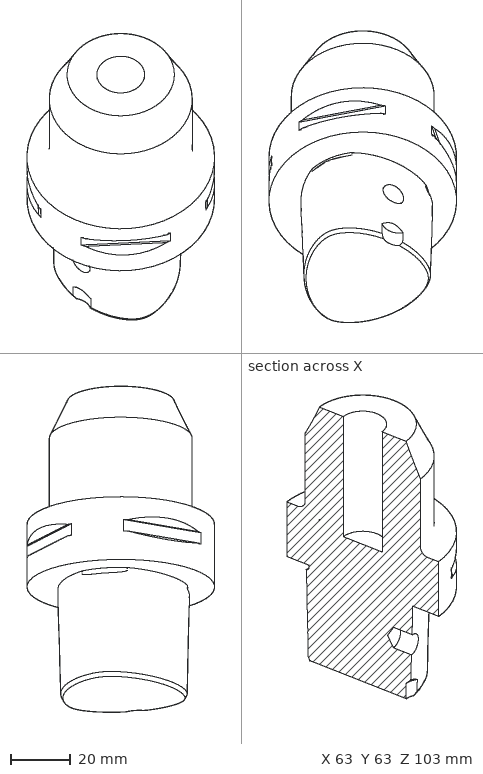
import cadquery as cq
import math

SHANK_LENGTH = 38.0
FLANGE_HEIGHT = 22.0
TOP_Z = 65.0

FLANGE_DIAMETER = 63.0
BODY_DIAMETER = 48.0
NOSE_DIAMETER = 36.0
NOSE_HEIGHT = 12.75
BODY_FILLET = 3.0
BORE_DIAMETER = 16.0
BORE_DEPTH = 48.0

SHANK_RADIUS = 22.1
LOBE_HEIGHT = 1.35
TIP_LOBE_HEIGHT = 1.5
OUTLINE_SAMPLES = 72
STRAIGHT_LENGTH = 3.0
RADIUS_TAPER = 1 / 40
END_CHAMFER_HEIGHT = 1.5
END_CHAMFER_WIDTH = 0.75

RELIEF_RADIUS = 1.5
RELIEF_FLOOR_RADIUS = 22.35
RELIEF_Z = -0.65

SLOT_COUNT = 4
SLOT_START_ANGLE = 45.0
SLOT_Z = 12.0
SLOT_FLOOR_DISTANCE = 27.7
SLOT_FLOOR_HEIGHT = 4.0
SLOT_WALL_DEPTH = 0.7
SLOT_FLARE_ANGLE = 30.0
SLOT_OVERSHOOT = 1.0

SIDE_HOLE_DIAMETER = 8.0
SIDE_HOLE_Z = -15.5
SIDE_HOLE_DEPTH = 8.0
DRILL_POINT_ANGLE = 118.0

NOTCH_RADIUS = 6.0
NOTCH_AXIS_Y = -24.0
NOTCH_HEIGHT = 6.2


def turned_body():
    """Flange, body and tapered nose."""
    flange_r = FLANGE_DIAMETER / 2
    body_r = BODY_DIAMETER / 2
    fillet_end = FLANGE_HEIGHT + BODY_FILLET
    arc_offset = BODY_FILLET * (1 - math.sqrt(0.5))
    profile = (
        cq.Workplane("XZ")
        .lineTo(flange_r, 0)
        .lineTo(flange_r, FLANGE_HEIGHT)
        .lineTo(body_r + BODY_FILLET, FLANGE_HEIGHT)
        .threePointArc((body_r + arc_offset, FLANGE_HEIGHT + arc_offset), (body_r, fillet_end))
        .lineTo(body_r, TOP_Z - NOSE_HEIGHT)
        .lineTo(NOSE_DIAMETER / 2, TOP_Z)
        .lineTo(0, TOP_Z)
        .close()
    )
    return profile.revolve(360, (0, 0, 0), (0, 1, 0))


def polygon_wire(mean_radius, lobe_height, z):
    """Three-lobed constant-width outline with one lobe pointing along +Y."""

    def point(angle):
        support = mean_radius - lobe_height * math.sin(3 * angle)
        slope = -3 * lobe_height * math.cos(3 * angle)
        x = support * math.cos(angle) - slope * math.sin(angle)
        y = support * math.sin(angle) + slope * math.cos(angle)
        return x, y

    points = [point(2 * math.pi * i / OUTLINE_SAMPLES) for i in range(OUTLINE_SAMPLES)]
    return cq.Workplane("XY", origin=(0, 0, z)).spline(points, periodic=True).close().val()


def shank_section(start, end):
    """Ruled length of shank between two outlines, given as (mean radius, lobe height, z)."""
    wires = [polygon_wire(*start), polygon_wire(*end)]
    return cq.Workplane(cq.Solid.makeLoft(wires, True))


def polygon_shank():
    """Straight neck, taper and end chamfer, stacked downwards from the flange."""
    chamfer_z = END_CHAMFER_HEIGHT - SHANK_LENGTH
    taper_length = SHANK_LENGTH - STRAIGHT_LENGTH - END_CHAMFER_HEIGHT
    tip_radius = SHANK_RADIUS - taper_length * RADIUS_TAPER
    flange_outline = (SHANK_RADIUS, LOBE_HEIGHT, 0)
    taper_start = (SHANK_RADIUS, LOBE_HEIGHT, -STRAIGHT_LENGTH)
    taper_end = (tip_radius, TIP_LOBE_HEIGHT, chamfer_z)
    end_outline = (tip_radius - END_CHAMFER_WIDTH, TIP_LOBE_HEIGHT, -SHANK_LENGTH)
    neck = shank_section(flange_outline, taper_start)
    taper = shank_section(taper_start, taper_end)
    chamfer = shank_section(taper_end, end_outline)
    return neck.union(taper).union(chamfer)


def relief_groove():
    """Ring of round section, cut off flush with the flange's lower face."""
    centre_radius = RELIEF_FLOOR_RADIUS + RELIEF_RADIUS
    section = cq.Workplane("XZ").moveTo(centre_radius, RELIEF_Z).circle(RELIEF_RADIUS)
    ring = section.revolve(360, (0, 0, 0), (0, 1, 0))
    below_flange = cq.Workplane("XY").circle(FLANGE_DIAMETER).extrude(-SHANK_LENGTH)
    return ring.intersect(below_flange)


def gripper_slots():
    """Straight trapezoidal grooves with a square-walled floor, evenly spaced around the flange."""
    flare_start = SLOT_FLOOR_DISTANCE + SLOT_WALL_DEPTH
    outer_distance = FLANGE_DIAMETER / 2 + SLOT_OVERSHOOT
    floor_half_height = SLOT_FLOOR_HEIGHT / 2
    flare = (outer_distance - flare_start) * math.tan(math.radians(SLOT_FLARE_ANGLE))
    outer_half_height = floor_half_height + flare
    profile = [
        (SLOT_FLOOR_DISTANCE, SLOT_Z - floor_half_height),
        (flare_start, SLOT_Z - floor_half_height),
        (outer_distance, SLOT_Z - outer_half_height),
        (outer_distance, SLOT_Z + outer_half_height),
        (flare_start, SLOT_Z + floor_half_height),
        (SLOT_FLOOR_DISTANCE, SLOT_Z + floor_half_height),
    ]
    slot = cq.Workplane("XZ").polyline(profile).close().extrude(FLANGE_DIAMETER / 2, both=True)
    slots = cq.Workplane("XY")
    for i in range(SLOT_COUNT):
        angle = SLOT_START_ANGLE + i * 360 / SLOT_COUNT
        slots = slots.add(slot.rotate((0, 0, 0), (0, 0, 1), angle))
    return slots.combine()


def side_hole():
    """Drilled hole entering along +Y, with a conical point."""
    radius = SIDE_HOLE_DIAMETER / 2
    floor_y = -(SHANK_RADIUS - LOBE_HEIGHT) + SIDE_HOLE_DEPTH
    tip_y = floor_y + radius / math.tan(math.radians(DRILL_POINT_ANGLE / 2))
    profile = [(0, -SHANK_RADIUS), (radius, -SHANK_RADIUS), (radius, floor_y), (0, tip_y)]
    drill = cq.Workplane("XY").polyline(profile).close().revolve(360, (0, 0, 0), (0, 1, 0))
    return drill.translate((0, 0, SIDE_HOLE_Z))


def end_notch():
    """Upright cylinder with a 45 degree conical end, biting into the -Y side."""
    profile = [(0, 0), (NOTCH_RADIUS, 0), (NOTCH_RADIUS, NOTCH_HEIGHT), (0, NOTCH_HEIGHT + NOTCH_RADIUS)]
    cutter = cq.Workplane("XZ").polyline(profile).close().revolve(360, (0, 0, 0), (0, 1, 0))
    return cutter.translate((0, NOTCH_AXIS_Y, -SHANK_LENGTH))


def bore():
    """Blind bore from the top face."""
    return cq.Workplane("XY", origin=(0, 0, TOP_Z)).circle(BORE_DIAMETER / 2).extrude(-BORE_DEPTH)


shank = polygon_shank().cut(relief_groove()).cut(side_hole()).cut(end_notch())
result = turned_body().cut(gripper_slots()).union(shank).cut(bore())